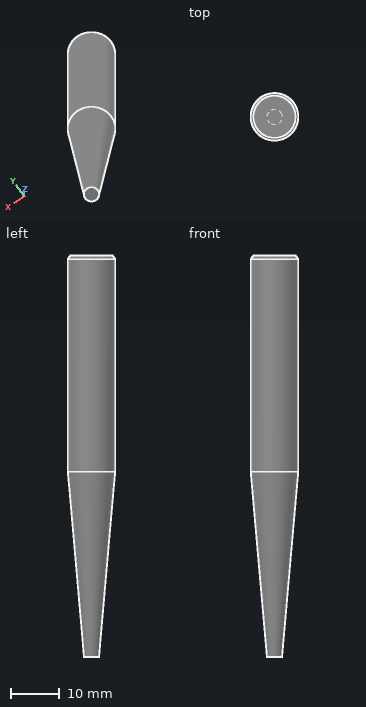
import cadquery as cq

total_length = 82.6
shank_diameter = 9.8
tip_diameter = 3.1
taper_length = 38.2
chamfer_height = 0.75
chamfer_width = 0.6

shank_radius = shank_diameter / 2
tip_radius = tip_diameter / 2


def revolve_profile(points):
    """Revolve a closed (radius, height) outline a full turn about the Z axis."""
    return cq.Workplane("XZ").polyline(points).close().revolve(360, (0, 0), (0, 1))


def make_shank():
    """Cylindrical shank standing on the taper, with a chamfered top rim."""
    return revolve_profile([
        (0, taper_length),
        (shank_radius, taper_length),
        (shank_radius, total_length - chamfer_height),
        (shank_radius - chamfer_width, total_length),
        (0, total_length),
    ])


def make_taper():
    """Cone that widens from the flat tip at Z = 0 up to the shank."""
    return revolve_profile([
        (0, 0),
        (tip_radius, 0),
        (shank_radius, taper_length),
        (0, taper_length),
    ])


shank = make_shank()
taper = make_taper()

result = cq.Compound.makeCompound([shank.val(), taper.val()])